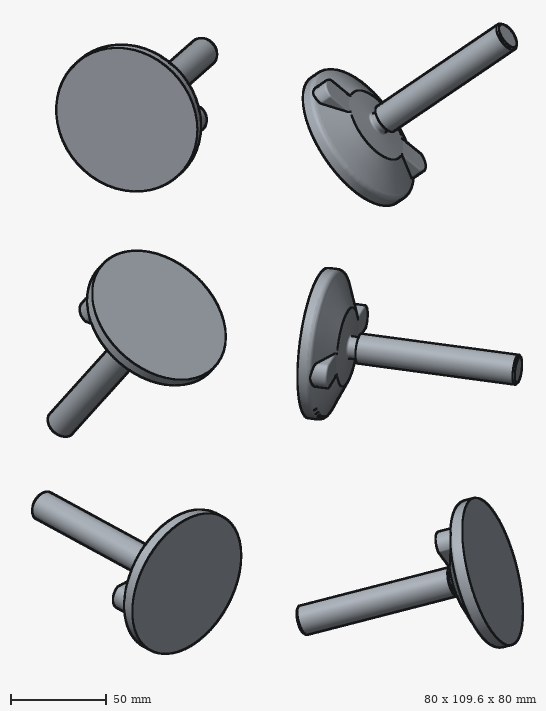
import cadquery as cq
import math

total_length = 109.6
base_radius = 40.0

rim_height = 4.9
cone_foot_radius = 37.8
cone_foot_height = 7.9
cone_top_radius = 21.0
cone_top_height = 16.0
crown_height = 17.1

neck_radius = 5.9
root_fillet = 1.1
stud_radius = 8.0
stud_start = 22.6
tip_chamfer = 1.0

lug_reach = 39.3
lug_width = 13.8
lug_end_radius = 8.0
lug_side_fillet = 1.8
lug_top_fillet = 1.0
lug_height = 16.0


def make_body():
    """Foot plate and stem, revolved about the Y axis."""
    inset = base_radius - cone_foot_radius
    rise = cone_foot_height - rim_height
    arc_radius = (inset**2 + rise**2) / (2 * inset)
    half_angle = math.asin(rise / arc_radius) / 2
    arc_middle = (
        base_radius - arc_radius * (1 - math.cos(half_angle)),
        rim_height + arc_radius * math.sin(half_angle),
    )
    root_offset = root_fillet * (1 - math.sqrt(0.5))
    root_middle = (neck_radius + root_offset, crown_height + root_offset)
    return (
        cq.Workplane("XY")
        .lineTo(base_radius, 0)
        .lineTo(base_radius, rim_height)
        .threePointArc(arc_middle, (cone_foot_radius, cone_foot_height))
        .lineTo(cone_top_radius, cone_top_height)
        .lineTo(neck_radius + root_fillet, crown_height)
        .threePointArc(root_middle, (neck_radius, crown_height + root_fillet))
        .lineTo(neck_radius, stud_start)
        .lineTo(stud_radius, stud_start)
        .lineTo(stud_radius, total_length - tip_chamfer)
        .lineTo(stud_radius - tip_chamfer, total_length)
        .lineTo(0, total_length)
        .close()
        .revolve(360, (0, 0, 0), (0, 1, 0))
    )


def make_lugs():
    """Bar across the foot plate with rounded ends standing out as two lugs."""
    half_width = lug_width / 2
    end_sagitta = lug_end_radius - math.sqrt(lug_end_radius**2 - half_width**2)
    side_end = lug_reach - end_sagitta
    bar = (
        cq.Workplane("XZ")
        .moveTo(-side_end, -half_width)
        .lineTo(side_end, -half_width)
        .threePointArc((lug_reach, 0), (side_end, half_width))
        .lineTo(-side_end, half_width)
        .threePointArc((-lug_reach, 0), (-side_end, -half_width))
        .close()
        .extrude(-lug_height)
    )
    bar = bar.edges("|Y").fillet(lug_side_fillet)
    return bar.faces(">Y").edges().fillet(lug_top_fillet)


result = make_body().union(make_lugs())